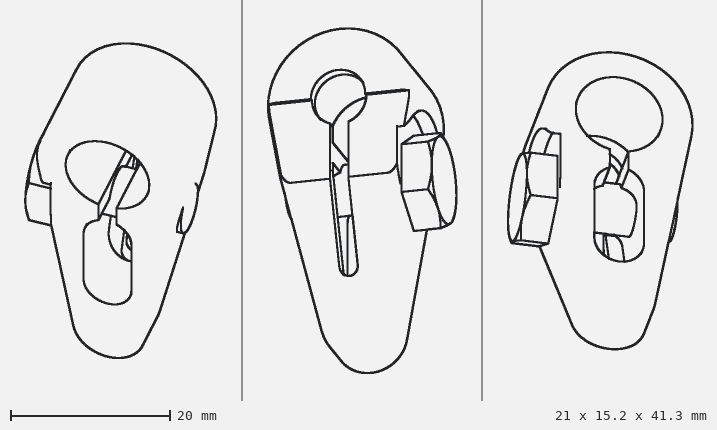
import cadquery as cq
import math


HEAD_RADIUS = 9.53
TOTAL_HEIGHT = 41.25
TIP_RADIUS = 4.8
TIP_Z = HEAD_RADIUS + TIP_RADIUS - TOTAL_HEIGHT
DEPTH = 15.22
BACK_RELIEF = 0.5
SLOPE_ANGLE = 22.0
SLOPE_START_Z = -10.75
BACK_FILLET = 1.5
FRONT_FILLET = 0.5

BORE_RADIUS = 5.55
REAR_HOLE_RADIUS = 3.55
BACK_WALL = 1.75
SLIT_WIDTH = 2.4
RECESS_WIDTH = 6.35
RECESS_TOP_Z = -7.95
RECESS_BOTTOM_Z = -22.25

BOLT_Y = 7.15
BOLT_Z = -9.53
BOLT_RADIUS = 3.2
BOLT_END_X = 8.37
HEX_LEFT_X = -11.5
HEX_HEIGHT = 3.95
HEX_FLATS = 11.1
HEX_CHAMFER_ANGLE = 30.0
SEAT_RADIUS = 9.0
SEAT_X = HEX_LEFT_X + HEX_HEIGHT

CLEARANCE = 2.05


def cylinder_y(radius, y_start, y_end):
    """Cylinder on the bore axis."""
    plane = cq.Workplane("XZ", origin=(0, y_start, 0))
    return plane.circle(radius).extrude(y_start - y_end)


def cylinder_x(radius, x_start, x_end):
    """Cylinder on the bolt axis."""
    plane = cq.Workplane("YZ", origin=(x_start, BOLT_Y, BOLT_Z))
    return plane.circle(radius).extrude(x_end - x_start)


def side_profile(back_y, wall):
    """Prism under the sloped back, set in from the slope by the wall thickness."""
    tangent = math.tan(math.radians(SLOPE_ANGLE))
    slope_shift = wall / math.cos(math.radians(SLOPE_ANGLE))
    slope_origin_y = DEPTH - BACK_RELIEF - slope_shift
    slope_top_z = SLOPE_START_Z + (back_y - slope_origin_y) / tangent
    bottom_z = TIP_Z - TIP_RADIUS - CLEARANCE
    bottom_y = slope_origin_y + (bottom_z - SLOPE_START_Z) * tangent
    points = [
        (-CLEARANCE, HEAD_RADIUS + CLEARANCE),
        (back_y, HEAD_RADIUS + CLEARANCE),
        (back_y, slope_top_z),
        (bottom_y, bottom_z),
        (-CLEARANCE, bottom_z),
    ]
    return cq.Workplane("YZ").polyline(points).close().extrude(HEAD_RADIUS + CLEARANCE, both=True)


def make_body():
    """Teardrop outline with a sloped back, rounded edges and a relieved lower back."""
    tilt = math.asin((HEAD_RADIUS - TIP_RADIUS) / -TIP_Z)
    across = math.cos(tilt)
    down = math.sin(tilt)
    head_z = -HEAD_RADIUS * down
    tip_z = TIP_Z - TIP_RADIUS * down
    body = (
        cq.Workplane("XZ")
        .moveTo(-HEAD_RADIUS * across, head_z)
        .threePointArc((0, HEAD_RADIUS), (HEAD_RADIUS * across, head_z))
        .lineTo(TIP_RADIUS * across, tip_z)
        .threePointArc((0, TIP_Z - TIP_RADIUS), (-TIP_RADIUS * across, tip_z))
        .close()
        .extrude(-DEPTH)
        .intersect(side_profile(DEPTH, 0))
    )
    slope_angle = math.radians(SLOPE_ANGLE)
    slope_normal = cq.Vector(0, math.cos(slope_angle), -math.sin(slope_angle))
    body = body.faces("<Y").edges().fillet(FRONT_FILLET)

    slope_edges = body.faces(cq.selectors.ParallelDirSelector(slope_normal)).edges()
    back_edges = body.faces(">Y").edges()
    shared_edge = back_edges.edges("<Z").val()
    rim = [edge for edge in back_edges.vals() + slope_edges.vals() if not edge.isSame(shared_edge)]
    body = body.newObject(rim).fillet(BACK_FILLET)

    relief_height = TIP_RADIUS - TIP_Z
    relief = (
        cq.Workplane("XY", origin=(0, DEPTH, -relief_height / 2))
        .box(2 * HEAD_RADIUS, 2 * BACK_RELIEF, relief_height)
    )
    return body.cut(relief)


def slot(width, top_z, bottom_z):
    """Vertical round-ended slot running through the whole depth."""
    return (
        cq.Workplane("XZ", origin=(0, -CLEARANCE, (top_z + bottom_z) / 2))
        .slot2D(top_z - bottom_z, width, 90)
        .extrude(-DEPTH - 2 * CLEARANCE)
    )


def cut_openings(body):
    """Stepped bore, through slit and the recess that follows the sloped back."""
    body = body.cut(cylinder_y(BORE_RADIUS, -CLEARANCE, DEPTH - BACK_WALL))
    body = body.cut(cylinder_y(REAR_HOLE_RADIUS, -CLEARANCE, DEPTH + CLEARANCE))
    body = body.cut(slot(SLIT_WIDTH, 0, RECESS_BOTTOM_Z))
    recess = slot(RECESS_WIDTH, RECESS_TOP_Z, RECESS_BOTTOM_Z)
    return body.cut(recess.intersect(side_profile(DEPTH - BACK_WALL, BACK_WALL)))


def make_bolt():
    """Hexagon bolt with a chamfered head; hexagon corners point up and down."""
    corner_radius = HEX_FLATS / math.sqrt(3)
    hexagon = (
        cq.Workplane("YZ", origin=(HEX_LEFT_X, BOLT_Y, BOLT_Z))
        .transformed(rotate=(0, 0, 90))
        .polygon(6, 2 * corner_radius)
        .extrude(HEX_HEIGHT)
    )
    face_radius = HEX_FLATS / 2
    cone_spread = HEX_HEIGHT / math.tan(math.radians(HEX_CHAMFER_ANGLE))
    cone = cq.Solid.makeCone(
        face_radius,
        face_radius + cone_spread,
        HEX_HEIGHT,
        pnt=cq.Vector(HEX_LEFT_X, BOLT_Y, BOLT_Z),
        dir=cq.Vector(1, 0, 0),
    )
    return hexagon.intersect(cq.Workplane(cone)).union(cylinder_x(BOLT_RADIUS, SEAT_X, BOLT_END_X))


clamp = cut_openings(make_body())
bolt_seat = cylinder_x(SEAT_RADIUS, -HEAD_RADIUS - CLEARANCE, SEAT_X)
result = clamp.cut(bolt_seat).union(make_bolt())